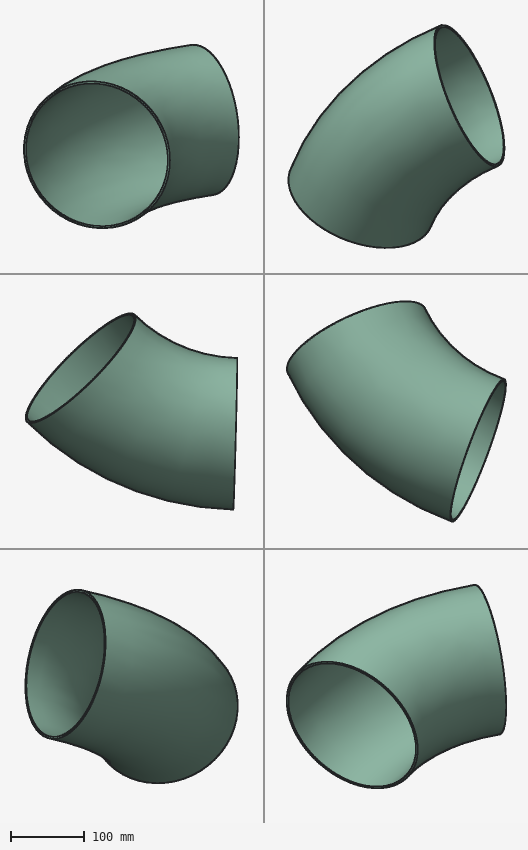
import cadquery as cq

outer_diameter = 206.0
wall_thickness = 3.0
bend_radius = 300.0
bend_angle = 45.0

outer_radius = outer_diameter / 2
inner_radius = outer_radius - wall_thickness


def pipe_elbow():
    """Revolve the pipe ring about a vertical axis on the +X side of the pipe.

    The starting end lies in the XZ plane, centred on the origin, and the
    elbow leaves it along +Y, curving towards +X.
    """
    ring = cq.Workplane("XZ").circle(outer_radius).circle(inner_radius)
    axis_start = (bend_radius, 0)
    axis_end = (bend_radius, -1)
    return ring.revolve(bend_angle, axis_start, axis_end)


result = pipe_elbow()